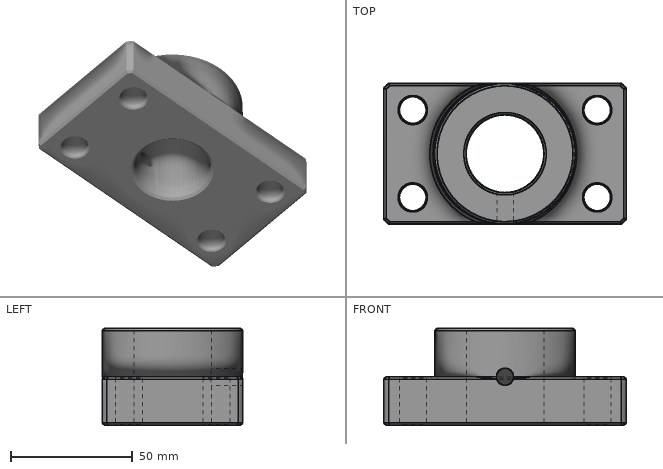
import cadquery as cq

plate_length = 100.0
plate_width = 58.0
plate_height = 20.0
corner_chamfer = 2.0
edge_chamfer = 1.0

boss_radius = plate_width / 2
boss_height = 20.0
neck_radius = boss_radius - edge_chamfer
bore_radius = 16.0
total_height = plate_height + boss_height

hole_radius = 5.5
hole_chamfer = 0.5
hole_spacing_x = 76.0
hole_spacing_y = 36.0

groove_offset_x = -0.7
groove_rim_radius = 30.3
groove_floor_radius = boss_radius
groove_depth = 0.8

cross_hole_radius = 3.5


def make_plate():
    plate = cq.Workplane("XY").box(
        plate_length, plate_width, plate_height, centered=(True, True, False)
    )
    plate = plate.edges("|Z").chamfer(corner_chamfer)
    return plate.faces("<Z or >Z").edges().chamfer(edge_chamfer)


def make_groove():
    profile = [
        (0, plate_height - groove_depth),
        (groove_floor_radius, plate_height - groove_depth),
        (groove_rim_radius, plate_height),
        (0, plate_height),
    ]
    groove = cq.Workplane("XZ").polyline(profile).close().revolve(360, (0, 0), (0, 1))
    return groove.translate((groove_offset_x, 0, 0))


def make_boss():
    """Full-radius boss on a slightly narrower neck that stands in the groove."""
    boss = cq.Workplane("XY", origin=(0, 0, plate_height)).circle(boss_radius).extrude(boss_height)
    boss = boss.faces(">Z").edges().chamfer(edge_chamfer)
    neck = cq.Workplane("XY", origin=(0, 0, plate_height - groove_depth))
    neck = neck.circle(neck_radius).extrude(groove_depth)
    return boss.union(neck)


def through_hole(radius, height, chamfer):
    """Vertical hole from Z = 0, chamfered at both mouths."""
    profile = [
        (0, 0),
        (radius + chamfer, 0),
        (radius, chamfer),
        (radius, height - chamfer),
        (radius + chamfer, height),
        (0, height),
    ]
    return cq.Workplane("XZ").polyline(profile).close().revolve(360, (0, 0), (0, 1))


result = make_plate().cut(make_groove()).union(make_boss())

result = result.cut(through_hole(bore_radius, total_height, edge_chamfer))

for side_x in (-1, 1):
    for side_y in (-1, 1):
        hole = through_hole(hole_radius, plate_height, hole_chamfer)
        result = result.cut(
            hole.translate((side_x * hole_spacing_x / 2, side_y * hole_spacing_y / 2, 0))
        )

cross_hole = (
    cq.Workplane("XZ", origin=(0, 0, plate_height))
    .circle(cross_hole_radius)
    .extrude(plate_width / 2)
)
result = result.cut(cross_hole)